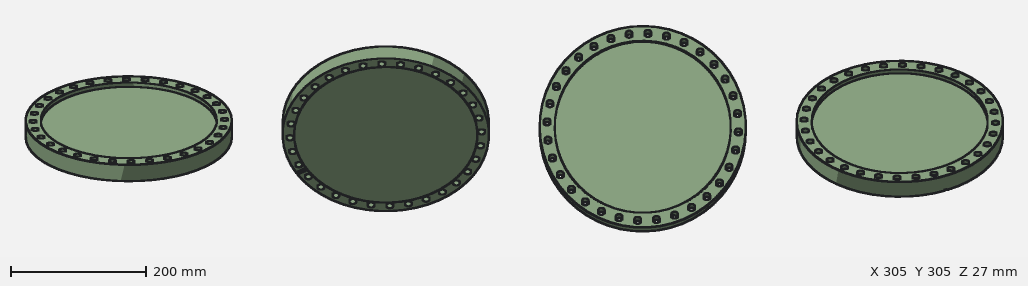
import cadquery as cq

RING_DIAMETER = 305.0
RING_THICKNESS = 27.0
LIP_BORE_DIAMETER = 260.2
LIP_THICKNESS = 7.0
SEAT_DIAMETER = 271.0
RIM_CHAMFER = 0.5

BOLT_COUNT = 32
BOLT_CIRCLE_DIAMETER = 283.0
BOLT_HOLE_DIAMETER = 10.5
BOLT_PITCH_ANGLE = 360 / BOLT_COUNT

GROOVE_WIDTH = 4.0
GROOVE_DEPTH = 1.2

DISC_DIAMETER = 270.2
DISC_THICKNESS = RING_THICKNESS - LIP_THICKNESS


def make_leak_groove():
    """Radial slot from the seat out through the -X side of the ring."""
    return cq.Workplane("XY").box(
        RING_DIAMETER / 2, GROOVE_WIDTH, GROOVE_DEPTH, centered=(False, True, False)
    ).translate((-RING_DIAMETER / 2, 0, 0))


def make_ring():
    """Ring with an inward lip and chamfered rim at the top, a seat below, and a bolt circle."""
    ring = cq.Workplane("XY").circle(RING_DIAMETER / 2).extrude(RING_THICKNESS)
    ring = ring.faces(">Z").chamfer(RIM_CHAMFER)
    lip_bore = cq.Workplane("XY").circle(LIP_BORE_DIAMETER / 2).extrude(RING_THICKNESS)
    seat = cq.Workplane("XY").circle(SEAT_DIAMETER / 2).extrude(DISC_THICKNESS)
    bolt_holes = (
        cq.Workplane("XY")
        .polarArray(BOLT_CIRCLE_DIAMETER / 2, BOLT_PITCH_ANGLE / 2, 360, BOLT_COUNT)
        .circle(BOLT_HOLE_DIAMETER / 2)
        .extrude(RING_THICKNESS)
    )
    return ring.cut(lip_bore).cut(seat).cut(bolt_holes).cut(make_leak_groove())


def make_disc():
    """Plain disc that fills the seat, with its top face against the lip."""
    return cq.Workplane("XY").circle(DISC_DIAMETER / 2).extrude(DISC_THICKNESS)


ring = make_ring()
disc = make_disc()

result = cq.Compound.makeCompound([ring.val(), disc.val()])